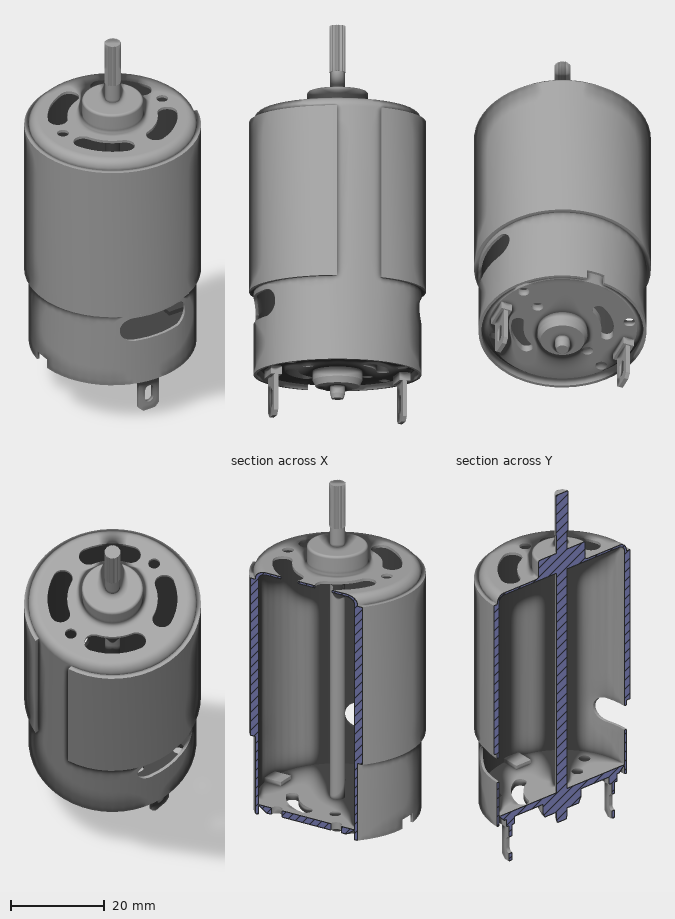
import cadquery as cq
import math


can_dia = 35.79
can_inner_dia = 34.55
can_height = 57.0
can_wall = (can_dia - can_inner_dia) / 2
shoulder_radius = 2.0

ring_dia = 37.7
ring_bottom = 18.0
ring_height = 36.85
ring_gap = 9.85

boss_dia = 13.0
boss_height = 4.4
boss_fillet = 0.55

vent_mid_radius = 11.75
vent_width = 4.2
vent_start = 19.4
vent_end = 64.4
screw_dia = 2.5
screw_radius = 12.5

side_slot_length = 16.5
side_slot_height = 5.85
side_slot_z = 13.85

cap_bottom = 0.8
cap_top = 2.4
cap_chamfer = 1.4
cap_vent_inner = 8.3
cap_vent_outer = 11.0
cap_vent_start = 119.0
cap_vent_end = 169.0
cap_hole_dia = 2.49
inner_hole_radius = 8.8
inner_hole_angle = 29.5
outer_hole_radius = 14.4
outer_hole_angle = 31.5
pad_width = 4.0
pad_inner_y = 13.0
pad_height = 1.0

notch_width = 4.0
notch_height = 2.2

hub_dia = 10.62
hub_depth = 2.5
hub_chamfer_height = 1.3
hub_chamfer_inset = 0.6

shaft_dia = 3.17
shaft_bottom = -5.15
shaft_chamfer_height = 1.0
shaft_chamfer_inset = 0.3
shaft_top = 75.7
knurl_dia = 3.5
knurl_length = 10.0
knurl_teeth = 36

terminal_x = 14.15
terminal_bottom = -9.69
blade_thickness = 0.9
blade_width = 5.0
blade_chamfer = 1.0
base_thickness = 2.4
base_width = 5.6
base_depth = 1.0
eye_width = 2.1
eye_length = 4.1
eye_z = -5.75


def cylinder(dia, bottom, top):
    return cq.Workplane("XY").workplane(offset=bottom).circle(dia / 2).extrude(top - bottom)


def block(x_size, y_size, bottom, top, x=0.0, y=0.0):
    base = cq.Workplane("XY").workplane(offset=bottom).center(x, y)
    return base.rect(x_size, y_size).extrude(top - bottom)


def polar(radius, degrees):
    angle = math.radians(degrees)
    return (radius * math.cos(angle), radius * math.sin(angle))


def arc_slot(mid_radius, width, start, end, bottom, top):
    """Vertical prism of a round-ended slot that follows an arc about the shaft."""
    inner = mid_radius - width / 2
    outer = mid_radius + width / 2
    middle = (start + end) / 2
    end_bulge = math.degrees(width / 2 / mid_radius)
    return (
        cq.Workplane("XY")
        .workplane(offset=bottom)
        .moveTo(*polar(outer, start))
        .threePointArc(polar(outer, middle), polar(outer, end))
        .threePointArc(polar(mid_radius, end + end_bulge), polar(inner, end))
        .threePointArc(polar(inner, middle), polar(inner, start))
        .threePointArc(polar(mid_radius, start - end_bulge), polar(outer, start))
        .close()
        .extrude(top - bottom)
    )


def make_can():
    can_radius = can_dia / 2
    boss_radius = boss_dia / 2
    boss_top = can_height + boss_height
    outside = (
        cq.Workplane("XZ")
        .lineTo(can_radius, 0)
        .lineTo(can_radius, can_height - shoulder_radius)
        .radiusArc((can_radius - shoulder_radius, can_height), -shoulder_radius)
        .lineTo(boss_radius + boss_fillet, can_height)
        .radiusArc((boss_radius, can_height + boss_fillet), boss_fillet)
        .lineTo(boss_radius, boss_top - boss_fillet)
        .radiusArc((boss_radius - boss_fillet, boss_top), -boss_fillet)
        .lineTo(0, boss_top)
        .close()
        .revolve(360, (0, 0, 0), (0, 1, 0))
    )
    cavity = cylinder(can_inner_dia, 0, can_height - can_wall)
    cavity = cavity.faces(">Z").edges().fillet(shoulder_radius - can_wall)
    return outside.cut(cavity)


def cut_front_openings(can):
    bottom = can_height - 2 * can_wall
    vent = arc_slot(vent_mid_radius, vent_width, vent_start, vent_end, bottom, can_height)
    half = vent.union(vent.mirror("YZ"))
    screw_hole = cylinder(screw_dia, bottom, can_height)
    can = can.cut(half).cut(half.mirror("XZ"))
    for y in (-screw_radius, screw_radius):
        can = can.cut(screw_hole.translate((0, y, 0)))
    return can


def cut_side_slots(can):
    slot = (
        cq.Workplane("YZ")
        .center(0, side_slot_z)
        .slot2D(side_slot_length, side_slot_height)
        .extrude(can_dia, both=True)
    )
    return can.cut(slot)


def cut_rim_notch(can):
    notch = block(notch_width, can_dia / 2, 0, notch_height, y=-can_dia / 2)
    return can.cut(notch)


def make_flux_ring():
    ring = cylinder(ring_dia, ring_bottom, ring_bottom + ring_height)
    ring = ring.cut(cylinder(can_dia, ring_bottom, ring_bottom + ring_height))
    gap = block(ring_gap, ring_dia, ring_bottom, ring_bottom + ring_height, y=ring_dia / 2)
    return ring.cut(gap)


def make_end_cap():
    cap = cylinder(can_inner_dia, cap_bottom, cap_top).faces("<Z").chamfer(cap_chamfer)
    vent = arc_slot(
        (cap_vent_inner + cap_vent_outer) / 2,
        cap_vent_outer - cap_vent_inner,
        cap_vent_start,
        cap_vent_end,
        cap_bottom,
        cap_top,
    )
    holes = (
        cq.Workplane("XY")
        .workplane(offset=cap_bottom)
        .pushPoints(
            [
                polar(inner_hole_radius, inner_hole_angle),
                polar(outer_hole_radius, outer_hole_angle),
                polar(outer_hole_radius, -outer_hole_angle),
            ]
        )
        .circle(cap_hole_dia / 2)
        .extrude(cap_top - cap_bottom)
    )
    pad_length = can_inner_dia / 2 - pad_inner_y
    pad = block(pad_width, pad_length, cap_top, cap_top + pad_height, y=pad_inner_y + pad_length / 2)
    pad = pad.intersect(cylinder(can_inner_dia, cap_top, cap_top + pad_height))
    for turn in (0, 180):
        axis = ((0, 0, 0), (0, 0, 1), turn)
        cap = cap.cut(vent.rotate(*axis)).cut(holes.rotate(*axis)).union(pad.rotate(*axis))
    return cap


def make_hub():
    radius = hub_dia / 2
    return (
        cq.Workplane("XZ")
        .moveTo(0, cap_top)
        .lineTo(radius, cap_top)
        .lineTo(radius, hub_chamfer_height - hub_depth)
        .lineTo(radius - hub_chamfer_inset, -hub_depth)
        .lineTo(0, -hub_depth)
        .close()
        .revolve(360, (0, 0, 0), (0, 1, 0))
    )


def make_shaft():
    shaft = cylinder(shaft_dia, shaft_bottom, shaft_top - knurl_length)
    shaft = shaft.faces("<Z").chamfer(shaft_chamfer_height, shaft_chamfer_inset)
    tooth_points = []
    for step in range(2 * knurl_teeth):
        radius = (knurl_dia if step % 2 == 0 else shaft_dia) / 2
        tooth_points.append(polar(radius, step * 180 / knurl_teeth))
    knurl = cq.Workplane("XY").workplane(offset=shaft_top - knurl_length)
    return shaft.union(knurl.polyline(tooth_points).close().extrude(knurl_length))


def make_terminal(x):
    base = block(base_thickness, base_width, -base_depth, cap_top, x=x)
    blade = block(blade_thickness, blade_width, terminal_bottom, 0, x=x)
    blade = blade.faces("<Z").edges("|X").chamfer(blade_chamfer)
    eye = (
        cq.Workplane("YZ")
        .workplane(offset=x)
        .center(0, eye_z)
        .slot2D(eye_length, eye_width, 90)
        .extrude(blade_thickness, both=True)
    )
    return base.union(blade.cut(eye))


can = cut_rim_notch(cut_side_slots(cut_front_openings(make_can())))
result = can.union(make_end_cap()).union(make_flux_ring())
result = result.union(make_hub()).union(make_shaft())
for side in (-1, 1):
    result = result.union(make_terminal(side * terminal_x))